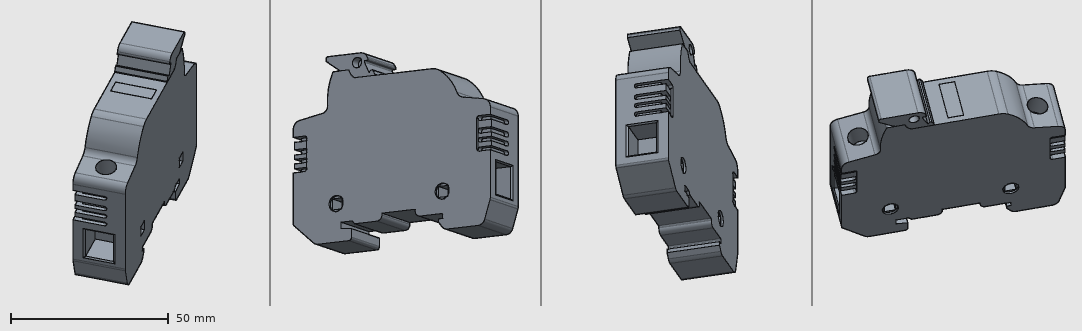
import cadquery as cq


WIDTH = 17.5
LENGTH = 72.6
HEIGHT = 60.3
HALF_LENGTH = LENGTH / 2
SIDE_X = -WIDTH / 2

DECK_Z = 52.5
HORN_Z = 55.25
HORN_BACK_Y = 21.6
SHOULDER_Z = 40.4
SHOULDER_BACK = (23.45, 42.55)
SHOULDER_FRONT = (-24.55, 42.4)
DECK_FRONT_Y = -16.1
FRONT_BULGE_RADIUS = 16.3
BACK_BULGE_RADIUS = 21.8

SEAT_TOP = (15.75, HORN_Z)
SEAT_FOOT = (13.7, DECK_Z)
SEAT_RADIUS = 4.35

BACK_BEVEL_Z = 7.1
BACK_BEVEL_Y = 28.2
BACK_HOOK_Y = 14.8
BACK_HOOK_ROOT_Y = 18.65
BACK_HOOK_ROOT_Z = 6.25
BACK_HOOK_UNDERCUT_Z = 4.3
BACK_HOOK_TIP_Z = 3.8
BACK_RAMP_TOP_Y = 14.7
BACK_RAMP_FOOT_Y = 13.65
RAIL_SEAT_Z = 5.2
RAIL_RELIEF_Z = 7.6
RELIEF_BACK_Y = 3.6
RELIEF_FRONT_Y = -8.65
FRONT_HOOK_ROOT_Y = -18.65
FRONT_HOOK_Y = -17.3
FRONT_HOOK_Z = 3.6
FRONT_HOOK_TIP_Z = 2.4
FRONT_FOOT_Y = -19.25
FRONT_BEVEL_Y = -33.7
FRONT_BEVEL_Z = 8.3

SHOULDER_ROUND = 2.9
NECK_ROUND = 2.2
DECK_ROUND = 5.5
FRONT_BEVEL_ROUND = 2.55
FOOT_ROUND = 2.2
RELIEF_ROUND = 1.8
BACK_ROUND = 1.0
SMALL_ROUND = 0.35
LEVER_BROW_ROUND = 2.75
LEVER_TIP_ROUND = 0.7

SCREW_Y = 29.1
SCREW_DIAMETER = 6.6
SCREW_DEPTH = 7.25

ENTRY_Z = 15.7
ENTRY_MOUTH = (10.75, 11.5)
ENTRY_THROAT = (9.2, 10.45)
ENTRY_BEVEL_DEPTH = 0.4
ENTRY_DEPTH = 10.2

VENTS = [(34.8, 1.45), (30.8, 1.7), (27.8, 1.45), (24.75, 1.45)]
VENT_END_LENGTH = 11.25
VENT_END_DEPTH = 1.45
VENT_SIDE_LENGTH = 4.9
VENT_SIDE_DEPTH = 2.8
RIB_SETBACK = 0.7
RIB_LENGTH = 5.0

TEST_HOLES_Y = (20.5, -18.6)
TEST_HOLE_Z = 12.5
TEST_MOUTH_DIAMETER = 5.15
TEST_MOUTH_DEPTH = 0.7
TEST_SQUARE = 3.55

LABEL_Y = -1.15
LABEL_WIDTH = 13.65
LABEL_LENGTH = 5.1
LABEL_DEPTH = 0.1

LEVER_TIP_Y = 24.2
LEVER_TIP_Z = 58.8
LEVER_HEEL_Y = 19.1
LEVER_BROW_Y = 9.7
LEVER_NOSE_Y = 8.6
LEVER_NOSE_Z = 57.65
LEVER_NOTCH_Y = 10.3
LEVER_VALLEY = (8.35, 53.65)
LEVER_RIDGE_BACK = (7.6, 54.4)
LEVER_RIDGE_FRONT = (7.05, 54.4)
LEVER_TOE = (6.25, 52.85)
PIVOT_Y = 12.8
PIVOT_Z = 57.3
PIVOT_DIAMETER = 3.35
PIVOT_DEPTH = 3.6


def extrude_profile(profile):
    """Extrude a closed Y-Z outline across the full width."""
    return profile.close().extrude(WIDTH)


def profile_plane():
    return cq.Workplane("YZ", origin=(SIDE_X, 0, 0))


def round_corners(body, radius, corners):
    """Round the widthwise edges that pass through the given (Y, Z) corners."""
    edges = body.edges("|X")
    picked = [edges.edges(cq.NearestToPointSelector((0, y, z))).val() for y, z in corners]
    return body.newObject(picked).fillet(radius)


def housing_blank():
    profile = (
        profile_plane()
        .moveTo(HALF_LENGTH, BACK_BEVEL_Z)
        .lineTo(HALF_LENGTH, SHOULDER_Z)
        .lineTo(*SHOULDER_BACK)
        .radiusArc((HORN_BACK_Y, HORN_Z), -BACK_BULGE_RADIUS)
        .lineTo(*SEAT_TOP)
        .radiusArc(SEAT_FOOT, SEAT_RADIUS)
        .lineTo(DECK_FRONT_Y, DECK_Z)
        .radiusArc(SHOULDER_FRONT, -FRONT_BULGE_RADIUS)
        .lineTo(-HALF_LENGTH, SHOULDER_Z)
        .lineTo(-HALF_LENGTH, FRONT_BEVEL_Z)
        .lineTo(FRONT_BEVEL_Y, 0)
        .lineTo(FRONT_FOOT_Y, 0)
        .lineTo(FRONT_HOOK_Y, FRONT_HOOK_TIP_Z)
        .lineTo(FRONT_HOOK_Y, FRONT_HOOK_Z)
        .lineTo(FRONT_HOOK_ROOT_Y, FRONT_HOOK_Z)
        .lineTo(FRONT_HOOK_ROOT_Y, RAIL_SEAT_Z)
        .lineTo(RELIEF_FRONT_Y, RAIL_SEAT_Z)
        .lineTo(RELIEF_FRONT_Y, RAIL_RELIEF_Z)
        .lineTo(RELIEF_BACK_Y, RAIL_RELIEF_Z)
        .lineTo(RELIEF_BACK_Y, RAIL_SEAT_Z)
        .lineTo(BACK_RAMP_FOOT_Y, RAIL_SEAT_Z)
        .lineTo(BACK_RAMP_TOP_Y, BACK_HOOK_ROOT_Z)
        .lineTo(BACK_HOOK_ROOT_Y, BACK_HOOK_ROOT_Z)
        .lineTo(BACK_HOOK_ROOT_Y, BACK_HOOK_UNDERCUT_Z)
        .lineTo(BACK_HOOK_Y, BACK_HOOK_TIP_Z)
        .lineTo(BACK_HOOK_Y, 0)
        .lineTo(BACK_BEVEL_Y, 0)
    )
    return extrude_profile(profile)


def round_housing(body):
    shoulders = [(HALF_LENGTH, SHOULDER_Z), (-HALF_LENGTH, SHOULDER_Z)]
    body = round_corners(body, SHOULDER_ROUND, shoulders + [SHOULDER_FRONT])
    body = round_corners(body, NECK_ROUND, [SHOULDER_BACK])
    body = round_corners(body, DECK_ROUND, [(DECK_FRONT_Y, DECK_Z)])
    body = round_corners(body, FRONT_BEVEL_ROUND, [(-HALF_LENGTH, FRONT_BEVEL_Z), (FRONT_BEVEL_Y, 0)])
    body = round_corners(body, FOOT_ROUND, [(FRONT_FOOT_Y, 0), (BACK_BEVEL_Y, 0)])
    relief = [(RELIEF_FRONT_Y, RAIL_SEAT_Z), (RELIEF_BACK_Y, RAIL_SEAT_Z)]
    body = round_corners(body, RELIEF_ROUND, relief)
    body = round_corners(body, BACK_ROUND, [(BACK_HOOK_Y, 0), (HALF_LENGTH, BACK_BEVEL_Z)])
    small = [
        (FRONT_HOOK_ROOT_Y, RAIL_SEAT_Z),
        (RELIEF_FRONT_Y, RAIL_RELIEF_Z),
        (HORN_BACK_Y, HORN_Z),
        SEAT_TOP,
    ]
    return round_corners(body, SMALL_ROUND, small)


def screw_hole(end):
    """Blind hole in the back (end = 1) or front (end = -1) shoulder."""
    rise = SHOULDER_BACK[1] - SHOULDER_Z
    run = HALF_LENGTH - SHOULDER_BACK[0]
    z = SHOULDER_Z + (HALF_LENGTH - SCREW_Y) * rise / run
    normal = cq.Vector(0, end * rise, run).normalized()
    rim = cq.Vector(0, end * SCREW_Y, z)
    above = rim + normal * SCREW_DIAMETER
    plane = cq.Plane(above.toTuple(), (1, 0, 0), (normal * -1).toTuple())
    return cq.Workplane(plane).circle(SCREW_DIAMETER / 2).extrude(SCREW_DIAMETER + SCREW_DEPTH)


def end_plane(end):
    """Plane on an end face whose normal points into the housing."""
    return cq.Workplane(cq.Plane((0, end * HALF_LENGTH, 0), (end, 0, 0), (0, -end, 0)))


def wire_entry(end):
    throat = end_plane(end).center(0, ENTRY_Z).rect(*ENTRY_THROAT).extrude(ENTRY_DEPTH)
    bevel = (
        end_plane(end)
        .center(0, ENTRY_Z)
        .rect(*ENTRY_MOUTH)
        .workplane(offset=ENTRY_BEVEL_DEPTH)
        .rect(*ENTRY_THROAT)
        .loft()
    )
    return throat.union(bevel)


def vents(end):
    """L-shaped vents at one end, with the setback of the ribs between them."""
    first_z = VENTS[0][0]
    last_z = VENTS[-1][0]
    corner = (SIDE_X, end * HALF_LENGTH, (first_z + last_z) / 2)
    cuts = cq.Workplane("XY", origin=corner).box(2 * RIB_SETBACK, 2 * RIB_LENGTH, first_z - last_z)
    for z, height in VENTS:
        end_slot = (
            end_plane(end)
            .center(end * SIDE_X, z)
            .slot2D(2 * VENT_END_LENGTH, height)
            .extrude(VENT_END_DEPTH)
        )
        side_slot = (
            profile_plane()
            .center(end * HALF_LENGTH, z)
            .slot2D(2 * VENT_SIDE_LENGTH, height)
            .extrude(VENT_SIDE_DEPTH)
        )
        cuts = cuts.union(end_slot).union(side_slot)
    return cuts


def test_hole(y):
    plane = profile_plane().center(y, TEST_HOLE_Z)
    mouth = plane.circle(TEST_MOUTH_DIAMETER / 2).extrude(TEST_MOUTH_DEPTH)
    return plane.rect(TEST_SQUARE, TEST_SQUARE).extrude(WIDTH).union(mouth)


def label_recess():
    return (
        cq.Workplane("XY", origin=(0, LABEL_Y, DECK_Z - LABEL_DEPTH))
        .rect(LABEL_WIDTH, LABEL_LENGTH)
        .extrude(2 * LABEL_DEPTH)
    )


def make_housing():
    body = round_housing(housing_blank())
    for end in (1, -1):
        body = body.cut(screw_hole(end)).cut(wire_entry(end)).cut(vents(end))
    for y in TEST_HOLES_Y:
        body = body.cut(test_hole(y))
    return body.cut(label_recess())


def make_lever():
    profile = (
        profile_plane()
        .moveTo(LEVER_TIP_Y, HEIGHT)
        .lineTo(LEVER_BROW_Y, HEIGHT)
        .lineTo(LEVER_NOSE_Y, LEVER_NOSE_Z)
        .lineTo(LEVER_NOTCH_Y, LEVER_NOSE_Z)
        .lineTo(*LEVER_VALLEY)
        .lineTo(*LEVER_RIDGE_BACK)
        .lineTo(*LEVER_RIDGE_FRONT)
        .lineTo(*LEVER_TOE)
        .lineTo(LEVER_TOE[0], DECK_Z)
        .lineTo(*SEAT_FOOT)
        .radiusArc(SEAT_TOP, -SEAT_RADIUS)
        .lineTo(LEVER_HEEL_Y, HORN_Z)
        .lineTo(LEVER_TIP_Y, LEVER_TIP_Z)
    )
    body = extrude_profile(profile)
    body = round_corners(body, LEVER_BROW_ROUND, [(LEVER_BROW_Y, HEIGHT)])
    body = round_corners(body, LEVER_TIP_ROUND, [(LEVER_TIP_Y, HEIGHT)])
    small = [SEAT_TOP, (LEVER_NOSE_Y, LEVER_NOSE_Z), (LEVER_NOTCH_Y, LEVER_NOSE_Z)]
    body = round_corners(body, SMALL_ROUND, small)
    pivot = profile_plane().center(PIVOT_Y, PIVOT_Z).circle(PIVOT_DIAMETER / 2).extrude(PIVOT_DEPTH)
    return body.cut(pivot)


housing = make_housing().solids()
lever = make_lever().solids()

result = cq.Compound.makeCompound([housing.val(), lever.val()])